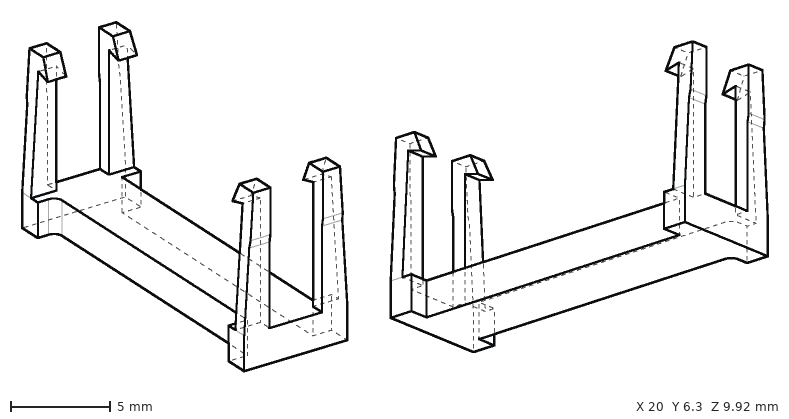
import cadquery as cq

length = 20.0
width = 6.3
height = 9.92

base_height = 2.0
beam_width = 4.0
foot_length = 1.4
corner_radius = 0.48

leg_gap = 3.2
leg_thickness = 0.8
leg_span_top = 5.3

step_depth = 0.08
step_start_drop = 3.08
step_end_drop = 2.65

hook_top_length = 1.25
hook_reach = 1.76
hook_tip_drop = 1.16
hook_root_drop = 0.95

end_x = length / 2
foot_x = end_x - step_depth
leg_inner_x = foot_x - leg_thickness


def make_base():
    beam = cq.Workplane("XY").box(2 * foot_x, beam_width, base_height, centered=(True, True, False))
    for side in (-1, 1):
        foot = cq.Workplane("XY").box(foot_length, width, base_height, centered=(True, True, False))
        beam = beam.union(foot.translate((side * (foot_x - foot_length / 2), 0, 0)))
    rounded_corner = (-foot_x + foot_length, -beam_width / 2, base_height / 2)
    return beam.edges(cq.NearestToPointSelector(rounded_corner)).fillet(corner_radius)


def make_clip_profile():
    """Side profile of the hooked legs at the +X end, extruded across the full width."""
    return (
        cq.Workplane("XZ")
        .moveTo(leg_inner_x, 0)
        .lineTo(foot_x, 0)
        .lineTo(foot_x, height - step_start_drop)
        .lineTo(end_x, height - step_end_drop)
        .lineTo(end_x, height)
        .lineTo(end_x - hook_top_length, height)
        .lineTo(end_x - hook_reach, height - hook_tip_drop)
        .lineTo(leg_inner_x, height - hook_root_drop)
        .close()
        .extrude(width / 2, both=True)
    )


def make_leg_taper():
    """Pair of legs seen from the end: straight inside faces, outside faces leaning inward."""
    taper = (
        cq.Workplane("YZ")
        .polyline([
            (-width / 2, 0),
            (width / 2, 0),
            (width / 2, base_height),
            (leg_span_top / 2, height),
            (-leg_span_top / 2, height),
            (-width / 2, base_height),
        ])
        .close()
        .extrude(length / 2, both=True)
    )
    gap = cq.Workplane("XY").box(length, leg_gap, height, centered=(True, True, False))
    return taper.cut(gap.translate((0, 0, base_height)))


clip = make_clip_profile().intersect(make_leg_taper())
result = make_base().union(clip).union(clip.mirror("YZ"))